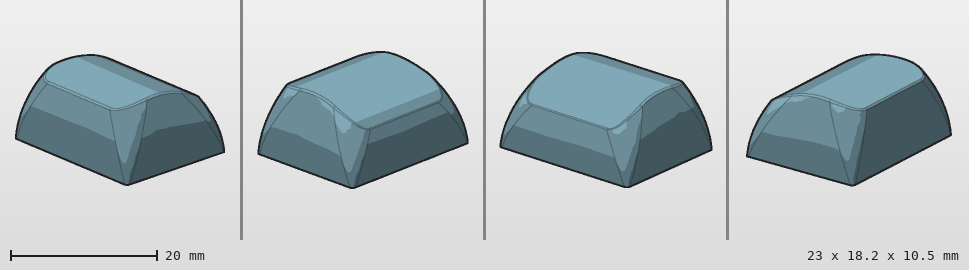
import cadquery as cq
import math

LENGTH = 23.03
WIDTH = 18.25
HEIGHT = 10.52

END_WALL = (17.27, 1.38)
FRONT_WALL = (24.18, 0.92)
BACK_WALL = (13.82, 1.15)

FRONT_FLAT = (10.96, 0.31, 0.02084)
BACK_FLAT = (10.96, 0.4, 0.0304)
END_FLAT_FRONT = (8.64, 0.35, 0.01693)
END_FLAT_BACK = (8.64, 0.43, 0.01607)

END_INSET = 0.004776

SECTION_COUNT = 7
LOFT_HEIGHT = HEIGHT + 0.53

CROWN_RADIUS = 15.2
CROWN_Y = -1.85
RIM_FILLET = 0.45

ELLIPSE_HANDLE = 4 * (math.sqrt(2) - 1) / 3


def wall_offset(half_size, wall, z):
    """Distance from the vertical axis to a bulging wall at height z."""
    radius, widest_z = wall
    return half_size - radius + math.sqrt(radius**2 - (z - widest_z) ** 2)


def flat_half_width(flat, z):
    """Half-width of the flat middle of a wall at height z."""
    base, slope, curvature = flat
    return base - slope * z - curvature * z**2


def corner(sketch, start, end, apex):
    """Quarter ellipse from start to end, tangent to the lines meeting at apex."""
    handles = [
        tuple(p + ELLIPSE_HANDLE * (a - p) for p, a in zip(point, apex))
        for point in (start, end)
    ]
    return sketch.bezier([start, *handles, end])


def section(z):
    """Horizontal outline of the body at height z, with elliptical corners."""
    x = wall_offset(LENGTH / 2, END_WALL, z)
    front = -wall_offset(WIDTH / 2, FRONT_WALL, z)
    back = wall_offset(WIDTH / 2, BACK_WALL, z)
    x_front = flat_half_width(FRONT_FLAT, z)
    x_back = flat_half_width(BACK_FLAT, z)
    y_front = -flat_half_width(END_FLAT_FRONT, z)
    y_back = flat_half_width(END_FLAT_BACK, z)
    inset = END_INSET * z**2
    y_middle = (y_front + y_back) / 2
    x_end = x - inset
    x_apex = x_end - inset * (back - y_back) / (y_back - y_middle)

    outline = cq.Workplane("XY", origin=(0, 0, z)).moveTo(-x_front, front).lineTo(x_front, front)
    outline = corner(outline, (x_front, front), (x, y_front), (x, front))
    outline = outline.bezier([(x, y_front), (x, y_middle), (x_end, y_back)])
    outline = corner(outline, (x_end, y_back), (x_back, back), (x_apex, back))
    outline = outline.lineTo(-x_back, back)
    outline = corner(outline, (-x_back, back), (-x_end, y_back), (-x_apex, back))
    outline = outline.bezier([(-x_end, y_back), (-x, y_middle), (-x, y_front)])
    outline = corner(outline, (-x, y_front), (-x_front, front), (-x, front))
    return outline.close().val()


def make_body():
    heights = [LOFT_HEIGHT * i / (SECTION_COUNT - 1) for i in range(SECTION_COUNT)]
    return cq.Workplane(cq.Solid.makeLoft([section(z) for z in heights]))


def make_crown():
    return (
        cq.Workplane("YZ")
        .center(CROWN_Y, HEIGHT - CROWN_RADIUS)
        .circle(CROWN_RADIUS)
        .extrude(LENGTH, both=True)
    )


body = make_body().intersect(make_crown())
result = body.faces(">Z").edges().fillet(RIM_FILLET)